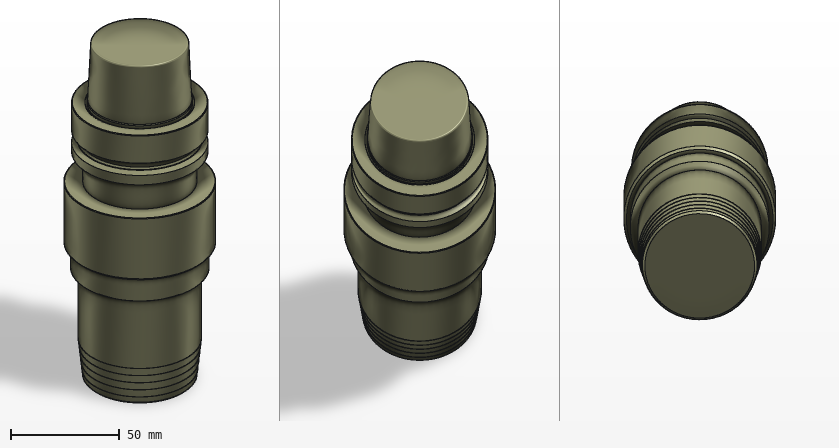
import cadquery as cq

total_height = 176.9

nose_radius = 28.5
nose_tip_radius = 26.4
nose_taper_height = 20.0
nose_band_count = 5
nose_band_step = 0.2
nose_tip_chamfer = 1.0

collar_radius = 32.0
collar_bottom_z = 57.8
collar_shoulder_z = 55.7
body_radius = 35.0
body_bottom_z = 70.0
body_top_z = 103.3
body_bottom_chamfer = 1.2
body_top_chamfer = 0.4

neck_radius = 26.4
flange_radius = 31.5
flange_bottom_z = 119.0
flange_top_z = 145.2
flange_chamfer = 0.4
groove_radius = 27.5
groove_bottom_z = 126.1
groove_top_z = 128.3
groove_flank_height = 2.1
groove_step_radius = 28.8
groove_step_bottom_z = 125.2
groove_step_top_z = 125.6

shank_foot_radius = 24.0
shank_top_radius = 22.6
shank_top_fillet = 1.0
relief_radius = 25.3
foot_ring_radius = 24.5
relief_depth = 0.5
foot_ring_height = 1.0
shank_foot_height = 1.6


def nose_points():
    """Points up the nose, two per band: its lower and its upper edge."""
    band_height = nose_taper_height / nose_band_count
    band_growth = (nose_radius - nose_tip_radius) / nose_band_count
    points = []
    for band in range(nose_band_count):
        lower_radius = nose_tip_radius + band * band_growth
        upper_radius = lower_radius + band_growth - nose_band_step
        points.append((lower_radius, band * band_height))
        points.append((upper_radius, (band + 1) * band_height))
    return points


def turned_profile():
    """Half section of the holder, from the bottom face up to the shank."""
    outline = [(0, 0)] + nose_points()
    outline += [
        (nose_radius, nose_taper_height),
        (nose_radius, collar_shoulder_z),
        (collar_radius, collar_bottom_z),
        (collar_radius, body_bottom_z),
        (body_radius - body_bottom_chamfer, body_bottom_z),
        (body_radius, body_bottom_z + body_bottom_chamfer),
        (body_radius, body_top_z - body_top_chamfer),
        (body_radius - body_top_chamfer, body_top_z),
        (neck_radius, body_top_z),
        (neck_radius, flange_bottom_z),
        (flange_radius, flange_bottom_z),
        (flange_radius, groove_bottom_z - groove_flank_height),
        (groove_step_radius, groove_step_bottom_z),
        (groove_step_radius, groove_step_top_z),
        (groove_radius, groove_bottom_z),
        (groove_radius, groove_top_z),
        (flange_radius, groove_top_z + groove_flank_height),
        (flange_radius, flange_top_z - flange_chamfer),
        (flange_radius - flange_chamfer, flange_top_z),
        (relief_radius, flange_top_z),
        (relief_radius, flange_top_z - relief_depth),
        (foot_ring_radius, flange_top_z - relief_depth),
        (foot_ring_radius, flange_top_z + foot_ring_height),
        (shank_foot_radius, flange_top_z + shank_foot_height),
        (shank_top_radius, total_height),
        (0, total_height),
    ]
    return cq.Workplane("XZ").polyline(outline).close()


holder = turned_profile().revolve(360, (0, 0, 0), (0, 1, 0))
holder = holder.faces(">Z").edges().fillet(shank_top_fillet)
result = holder.faces("<Z").edges().chamfer(nose_tip_chamfer)